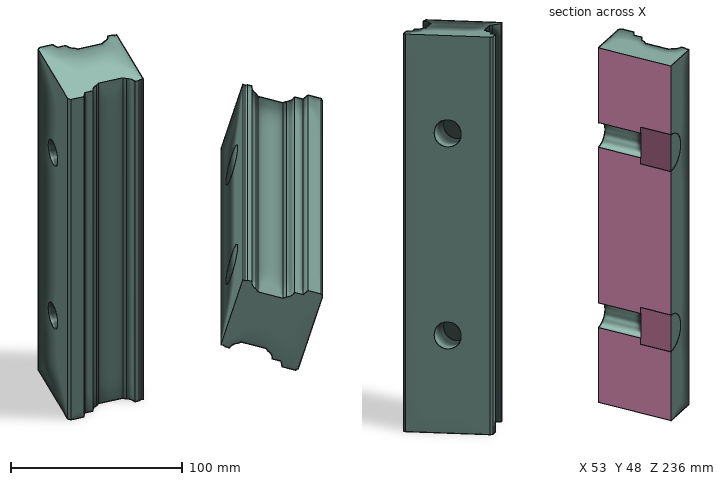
import cadquery as cq

LENGTH = 236.0
BASE_WIDTH = 53.0
HEIGHT = 48.0

HALF_BASE = BASE_WIDTH / 2
BASE_CHAMFER = 1.5
FLANGE_SIDE_TOP = 9.5
FLANGE_SLOPE_TOP = 11.3

HALF_HEAD = 23.1
HALF_RACE_ROOT = 18.9
HALF_WEB = 17.5
RACE_RADIUS = 5.7
WAIST_Y = 29.5
WEB_RISE = 7.5
ROOT_RISE = 9.2
RIM_RISE = 13.0

NOTCH_DEPTH = 0.7
NOTCH_BOTTOM = HEIGHT - 2.8
NOTCH_ROOT = HEIGHT - 1.5
HALF_TOP = 22.7

HOLE_DIAMETER = 16.0
COUNTERBORE_DIAMETER = 24.0
COUNTERBORE_DEPTH = 20.0
HOLE_PITCH = 120.0
FIRST_HOLE_Z = 58.0
HOLE_LEVELS = [FIRST_HOLE_Z, FIRST_HOLE_Z + HOLE_PITCH]
COUNTERBORE_FLOOR = HEIGHT - COUNTERBORE_DEPTH


def cylinder_along_y(diameter, start_y, length, z):
    """Cylinder on the rail centre plane, running toward +Y from start_y."""
    start = cq.Vector(0, start_y, z)
    return cq.Workplane(cq.Solid.makeCylinder(diameter / 2, length, start, cq.Vector(0, 1, 0)))


def rail_bar():
    """Rail without holes: the +X half profile extruded and mirrored."""
    half = (
        cq.Workplane("XY")
        .moveTo(0, 0)
        .lineTo(HALF_BASE - BASE_CHAMFER, 0)
        .lineTo(HALF_BASE, BASE_CHAMFER)
        .lineTo(HALF_BASE, FLANGE_SIDE_TOP)
        .lineTo(HALF_HEAD, FLANGE_SLOPE_TOP)
        .lineTo(HALF_HEAD, WAIST_Y - RIM_RISE)
        .radiusArc((HALF_RACE_ROOT, WAIST_Y - ROOT_RISE), RACE_RADIUS)
        .lineTo(HALF_WEB, WAIST_Y - WEB_RISE)
        .lineTo(HALF_WEB, WAIST_Y + WEB_RISE)
        .lineTo(HALF_RACE_ROOT, WAIST_Y + ROOT_RISE)
        .radiusArc((HALF_HEAD, WAIST_Y + RIM_RISE), RACE_RADIUS)
        .lineTo(HALF_HEAD, NOTCH_BOTTOM)
        .lineTo(HALF_HEAD - NOTCH_DEPTH, NOTCH_ROOT)
        .lineTo(HALF_TOP, HEIGHT)
        .lineTo(0, HEIGHT)
        .close()
        .extrude(LENGTH)
    )
    return half.union(half.mirror("YZ")).clean()


def make_rail():
    """Rail with counterbored mounting holes entering from the head."""
    rail = rail_bar()
    for z in HOLE_LEVELS:
        rail = rail.cut(cylinder_along_y(HOLE_DIAMETER, 0, HEIGHT, z))
        rail = rail.cut(cylinder_along_y(COUNTERBORE_DIAMETER, COUNTERBORE_FLOOR, COUNTERBORE_DEPTH, z))
    return rail


def make_plug(z):
    """Plug that fills one counterbore, flush with the head."""
    return cylinder_along_y(COUNTERBORE_DIAMETER, COUNTERBORE_FLOOR, COUNTERBORE_DEPTH, z)


rail = make_rail()
plugs = [make_plug(z) for z in HOLE_LEVELS]

result = cq.Compound.makeCompound([rail.val(), *[plug.val() for plug in plugs]])